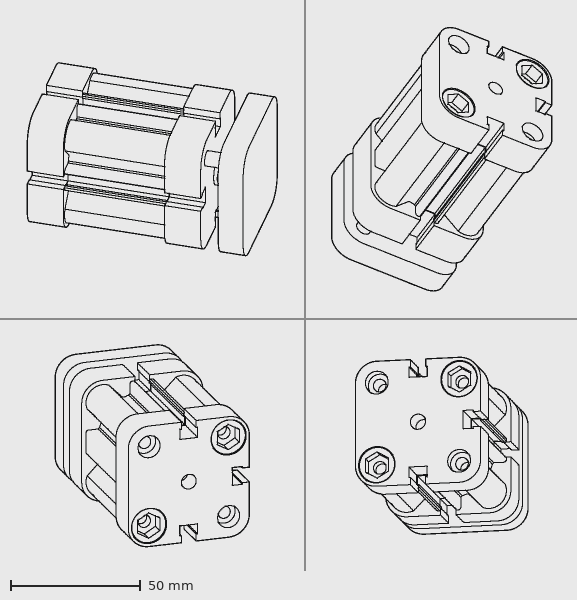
import cadquery as cq
import math


cap_length = 14.5
barrel_length = 40.5
plate_gap = 7.0
plate_thickness = 10.0
front_cap_start = cap_length + barrel_length
housing_length = front_cap_start + cap_length
plate_start = housing_length + plate_gap

cap_width = 49.5
half_width = cap_width / 2
corner_radius = 8.5
post_pitch = 32.5
post_offset = post_pitch / 2

post_radius = 6.75
post_edge_drop = 2.55
lip_half_width = 5.0
lip_height = 23.0
lip_radius = 1.1
lip_foot_height = 18.0
lip_foot_chamfer = 0.55
valley_across = 7.9
valley_radius = 1.0
barrel_sides = 4

cap_slot_mouth = 6.0
cap_slot_mouth_depth = 2.9
cap_slot_width = 7.25
cap_slot_floor = half_width - 7.0
barrel_slot_mouth = 5.5
barrel_slot_shoulder = 21.5
barrel_slot_width = 6.65
barrel_slot_floor = 18.1
barrel_slot_chamfer = 0.55
slot_angles = (0, 90, 180)

port_diameter = 6.0
port_depth = 10.0
mount_bore_diameter = 9.0
mount_bore_depth = 5.3
thread_diameter = 5.0
thread_depth = cap_length

screw_diameter = 13.9
screw_seat_diameter = 14.4
screw_recess = 0.4
screw_seat_depth = 10.0
screw_length = screw_seat_depth - screw_recess
socket_across_flats = 9.0
socket_depth = 5.2

rod_diameter = 12.0
rod_flats = 10.0
rod_shoulder_start = 70.9
rod_shoulder_length = 0.5
rod_end_chamfer = 0.25
pin_diameter = 6.0
guide_depth = cap_length

screw_corners = [(-post_offset, post_offset), (post_offset, -post_offset)]
mount_corners = [(post_offset, post_offset), (-post_offset, -post_offset)]


def cross_section(x):
    """Sketch plane across the cylinder axis: local x is Y, local y is Z."""
    return cq.Workplane("YZ", origin=(x, 0, 0))


def cylinders(x, length, diameter, centres):
    return cross_section(x).pushPoints(centres).circle(diameter / 2).extrude(length)


def rounded_block(x, length):
    block = cross_section(x).rect(cap_width, cap_width).extrude(length)
    return block.edges("|X").fillet(corner_radius)


def mirrored(points):
    """The same points on the other half of a side, in reverse order."""
    return [(-across, out) for across, out in reversed(points)]


def turned(point, quarter_turns):
    """Turn a (Y, Z) point clockwise about the axis by quarter turns."""
    angle = -quarter_turns * math.pi / 2
    across, out = point
    return (across * math.cos(angle) - out * math.sin(angle),
            across * math.sin(angle) + out * math.cos(angle))


def turned_all(points, quarter_turns):
    return [turned(point, quarter_turns) for point in points]


def corner_arc(before, corner, after, radius):
    """Start, middle and end of the arc that rounds a corner between two lines."""
    to_before = (cq.Vector(*before) - cq.Vector(*corner)).normalized()
    to_after = (cq.Vector(*after) - cq.Vector(*corner)).normalized()
    half_angle = to_before.getAngle(to_after) / 2
    setback = radius / math.tan(half_angle)
    bisector = (to_before + to_after).normalized()
    middle_distance = radius / math.sin(half_angle) - radius
    middle = cq.Vector(*corner) + bisector * middle_distance
    start = cq.Vector(*corner) + to_before * setback
    end = cq.Vector(*corner) + to_after * setback
    return [(p.x, p.y) for p in (start, middle, end)]


def barrel_profile():
    """Closed outline: four round corner posts joined by lipped, waisted sides."""
    post_edge_across = post_offset - post_edge_drop
    post_edge_out = post_offset + math.sqrt(post_radius**2 - post_edge_drop**2)
    post_edge = (post_edge_across, post_edge_out)
    valley = (valley_across, post_edge_out - (post_edge_across - valley_across))
    lip_corner = (lip_half_width, lip_height)
    lip_foot = (lip_half_width, lip_foot_height)
    floor_edge = (lip_half_width + lip_foot_chamfer, lip_foot_height - lip_foot_chamfer)
    lip_arc = corner_arc((0, lip_height), lip_corner, lip_foot, lip_radius)
    valley_arc = corner_arc(floor_edge, valley, post_edge, valley_radius)
    post_far_point = post_offset + post_radius / math.sqrt(2)

    outline = cross_section(cap_length).moveTo(-post_edge_across, post_edge_out)
    for side in range(barrel_sides):
        valley_start, valley_middle, valley_end = turned_all(mirrored(valley_arc), side)
        outline = outline.lineTo(*valley_start).threePointArc(valley_middle, valley_end)
        for point in turned_all(mirrored([lip_foot, floor_edge]), side):
            outline = outline.lineTo(*point)
        for start, middle, end in (turned_all(mirrored(lip_arc), side), turned_all(lip_arc, side)):
            outline = outline.lineTo(*start).threePointArc(middle, end)
        for point in turned_all([lip_foot, floor_edge], side):
            outline = outline.lineTo(*point)
        valley_start, valley_middle, valley_end = turned_all(valley_arc, side)
        outline = outline.lineTo(*valley_start).threePointArc(valley_middle, valley_end)
        outline = outline.lineTo(*turned(post_edge, side))
        post_far = turned((post_far_point, post_far_point), side)
        next_post_edge = turned((-post_edge_across, post_edge_out), side + 1)
        outline = outline.threePointArc(post_far, next_post_edge)
    return outline.close()


def slot_cutter(x, length, half_outline):
    """Prism on the top side from one half of a slot outline, mirrored across it."""
    outline = half_outline + mirrored(half_outline)
    return cross_section(x).polyline(outline).close().extrude(length)


def cap_slot(x):
    shoulder = half_width - cap_slot_mouth_depth
    return slot_cutter(x, cap_length, [
        (cap_slot_mouth / 2, half_width),
        (cap_slot_mouth / 2, shoulder),
        (cap_slot_width / 2, shoulder),
        (cap_slot_width / 2, cap_slot_floor),
    ])


def barrel_slot():
    return slot_cutter(cap_length, barrel_length, [
        (barrel_slot_mouth / 2 + barrel_slot_chamfer, lip_height),
        (barrel_slot_mouth / 2, lip_height - barrel_slot_chamfer),
        (barrel_slot_mouth / 2, barrel_slot_shoulder),
        (barrel_slot_width / 2, barrel_slot_shoulder),
        (barrel_slot_width / 2, barrel_slot_floor),
    ])


def make_housing():
    housing = barrel_profile().extrude(barrel_length)
    for x in (0, front_cap_start):
        housing = housing.union(rounded_block(x, cap_length))
    for slot in (cap_slot(0), barrel_slot(), cap_slot(front_cap_start)):
        for angle in slot_angles:
            housing = housing.cut(slot.rotate((0, 0, 0), (1, 0, 0), angle))

    housing = housing.cut(cylinders(0, port_depth, port_diameter, [(0, 0)]))
    housing = housing.cut(cylinders(0, mount_bore_depth, mount_bore_diameter, mount_corners))
    housing = housing.cut(cylinders(0, thread_depth, thread_diameter, mount_corners))
    housing = housing.cut(cylinders(0, screw_seat_depth, screw_seat_diameter, screw_corners))

    guide_start = housing_length - guide_depth
    housing = housing.cut(cylinders(guide_start, guide_depth, rod_diameter, [(0, 0)]))
    housing = housing.cut(cylinders(guide_start, guide_depth, pin_diameter, screw_corners))
    return housing


def make_screw(corner):
    screw = cylinders(screw_recess, screw_length, screw_diameter, [corner])
    across_corners = socket_across_flats / math.cos(math.pi / 6)
    socket = cross_section(screw_recess).polygon(6, across_corners).extrude(socket_depth)
    socket = socket.rotate((0, 0, 0), (1, 0, 0), 90).translate((0, *corner))
    screw = screw.cut(socket)
    return screw.cut(cylinders(screw_recess, screw_length, thread_diameter, [corner]))


def make_rod():
    rod_start = housing_length - guide_depth
    rod = cylinders(rod_start, plate_start - rod_start, rod_diameter, [(0, 0)])
    rod = rod.faces(">X").chamfer(rod_end_chamfer)
    radius = rod_diameter / 2
    flat_start = rod_shoulder_start + rod_shoulder_length
    for side in (-1, 1):
        flat = (
            cq.Workplane("XY")
            .polyline([
                (rod_shoulder_start, side * radius),
                (flat_start, side * rod_flats / 2),
                (plate_start, side * rod_flats / 2),
                (plate_start, side * radius),
            ])
            .close()
            .extrude(radius, both=True)
        )
        rod = rod.cut(flat)
    return rod


def make_plate():
    plate = rounded_block(plate_start, plate_thickness)
    pin_length = guide_depth + plate_gap
    pins = cylinders(plate_start - pin_length, pin_length, pin_diameter, screw_corners)
    return plate.union(pins)


housing = make_housing()
rod = make_rod()
plate = make_plate()
screws = [make_screw(corner) for corner in screw_corners]

result = cq.Compound.makeCompound([
    housing.val(),
    rod.val(),
    plate.val(),
    *[screw.val() for screw in screws],
])